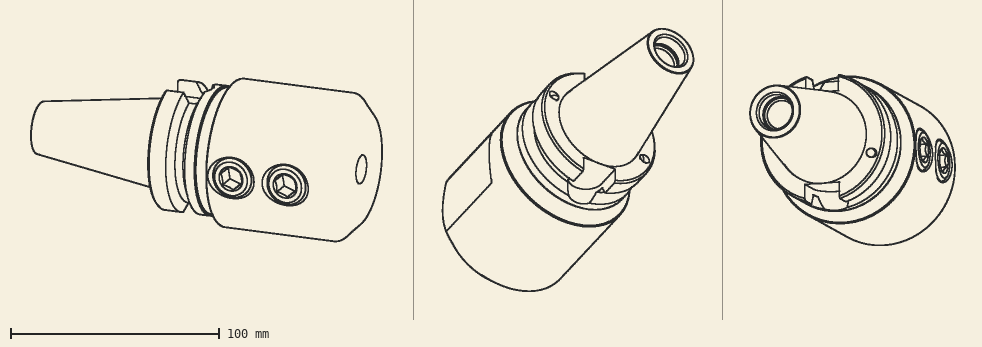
import cadquery as cq
import math

length = 165.4
body_diameter = 72.0
body_radius = body_diameter / 2

taper_ratio = 7 / 24
taper_length = 66.2
taper_radius = 22.5
taper_end_radius = taper_radius - taper_length * taper_ratio / 2
taper_end_chamfer = 0.3

flange_start = 67.5
flange_diameter = 63.0
flange_radius = flange_diameter / 2
flange_chamfer = 1.0
groove_radius = 26.6
groove_floor_start = 79.9
groove_floor_end = 84.0
groove_side_angle = 60.0
groove_side_run = (flange_radius - groove_radius) / math.tan(math.radians(groove_side_angle))
flange_end = 92.3
flange_end_chamfer = 0.5

collar_radius = 30.6
collar_fillet = 0.8
body_start = 99.4
body_chamfer = 0.5

nose_cone_length = 8.3
nose_radius = body_radius - nose_cone_length
nose_fillet = 2.0

upper_keyway_width = 16.5
lower_keyway_width = 17.5
keyway_floor = 22.3
keyway_end = 89.0

coolant_hole_diameter = 4.3
coolant_tilt = 35.0
coolant_hole_depth = 1.7
coolant_circle_radius = 26.8
coolant_angle = 20.0

bore_mouth_radius = 9.5
pilot_radius = 8.5
pilot_depth = 6.6
thread_radius = 8.0
thread_relief_length = 1.0
bore_radius = 7.0

flat_offset = 32.6
flat_ramp_start = 110.7

screw_positions = (112.5, 140.5)
screw_radius = 10.0
screw_length = 19.8
screw_rim_radius = 8.5
screw_rim_chamfer = screw_radius - screw_rim_radius
countersink_radius = 11.9
countersink_depth = countersink_radius - screw_radius
screw_top = body_radius
socket_width = 10.0
socket_corner_radius = socket_width / math.sqrt(3)
socket_mouth_radius = 6.1
socket_depth = 10.0
socket_turn = 40.0


def turned_blank():
    """Outer shape: taper, grooved flange, collar and body."""
    outline = [
        (0, 0),
        (0, taper_end_radius - taper_end_chamfer),
        (taper_end_chamfer, taper_end_radius),
        (taper_length, taper_radius),
        (flange_start, taper_radius),
        (flange_start, flange_radius - flange_chamfer),
        (flange_start + flange_chamfer, flange_radius),
        (groove_floor_start - groove_side_run, flange_radius),
        (groove_floor_start, groove_radius),
        (groove_floor_end, groove_radius),
        (groove_floor_end + groove_side_run, flange_radius),
        (flange_end - flange_end_chamfer, flange_radius),
        (flange_end, flange_radius - flange_end_chamfer),
        (flange_end, collar_radius),
        (body_start, collar_radius),
        (body_start, body_radius - body_chamfer),
        (body_start + body_chamfer, body_radius),
        (length - nose_cone_length, body_radius),
        (length, nose_radius),
        (length, 0),
    ]
    blank = cq.Workplane("XY").polyline(outline).close().revolve(360, (0, 0, 0), (1, 0, 0))
    nose_zone = cq.selectors.BoxSelector(
        (length - nose_cone_length - nose_fillet, -length, -length),
        (length + nose_fillet, length, length),
        boundingbox=True,
    )
    collar_zone = cq.selectors.BoxSelector(
        (body_start - collar_fillet / 2, -collar_radius - collar_fillet, -collar_radius - collar_fillet),
        (body_start + body_chamfer / 2, collar_radius + collar_fillet, collar_radius + collar_fillet),
        boundingbox=True,
    )
    blank = blank.edges(nose_zone).edges("%CIRCLE").fillet(nose_fillet)
    return blank.edges(collar_zone).edges("%CIRCLE").fillet(collar_fillet)


def draw_bolt_bore():
    """Stepped bore that runs through the whole holder."""
    mouth_chamfer = bore_mouth_radius - pilot_radius
    relief_end = pilot_depth + thread_relief_length
    outline = [
        (0, 0),
        (0, bore_mouth_radius),
        (mouth_chamfer, pilot_radius),
        (pilot_depth, pilot_radius),
        (pilot_depth, thread_radius),
        (relief_end, thread_radius),
        (relief_end + thread_radius - bore_radius, bore_radius),
        (length, bore_radius),
        (length, 0),
    ]
    return cq.Workplane("XY").polyline(outline).close().revolve(360, (0, 0, 0), (1, 0, 0))


def keyway(side, width):
    """Round-ended drive slot, open at the flange face; side is +1 or -1 along Z."""
    half_width = width / 2
    arc_center = keyway_end - half_width
    return (
        cq.Workplane("XY", origin=(0, 0, side * keyway_floor))
        .moveTo(flange_start, -half_width)
        .lineTo(arc_center, -half_width)
        .threePointArc((keyway_end, 0), (arc_center, half_width))
        .lineTo(flange_start, half_width)
        .close()
        .extrude(side * (body_radius - keyway_floor))
    )


def coolant_hole(angle):
    """Shallow blind hole in the flange face, slanting inward toward the axis."""
    lead = coolant_hole_diameter
    return (
        cq.Workplane("XY")
        .circle(coolant_hole_diameter / 2)
        .extrude(coolant_hole_depth + lead)
        .translate((0, 0, -lead))
        .rotate((0, 0, 0), (0, 1, 0), 90)
        .rotate((0, 0, 0), (0, 0, 1), -coolant_tilt)
        .translate((flange_start, coolant_circle_radius, 0))
        .rotate((0, 0, 0), (1, 0, 0), angle)
    )


def balancing_flat():
    """Material beyond the flat, with a 45 degree ramp at its start."""
    ramp = body_radius - flat_offset
    return (
        cq.Workplane("XY")
        .polyline([
            (flat_ramp_start, body_radius),
            (flat_ramp_start + ramp, flat_offset),
            (length, flat_offset),
            (length, body_radius),
        ])
        .close()
        .extrude(body_radius, both=True)
    )


def turned_about_y(x, outline):
    """Solid of revolution about the radial line at X = x; outline holds (radius, y)."""
    return (
        cq.Workplane("XY", origin=(x, 0, 0))
        .polyline(outline)
        .close()
        .revolve(360, (0, 0, 0), (0, 1, 0))
    )


def screw_hole(x):
    """Countersunk seat for one clamping screw."""
    return turned_about_y(x, [
        (0, -body_radius),
        (countersink_radius, -body_radius),
        (screw_radius, countersink_depth - body_radius),
        (screw_radius, screw_length - screw_top),
        (0, screw_length - screw_top),
    ])


def clamping_screw(x):
    """Set screw with a chamfered rim and a hexagon socket."""
    shank = turned_about_y(x, [
        (0, -screw_top),
        (screw_rim_radius, -screw_top),
        (screw_radius, screw_rim_chamfer - screw_top),
        (screw_radius, screw_length - screw_top),
        (0, screw_length - screw_top),
    ])
    socket = (
        cq.Workplane("XZ", origin=(x, -screw_top, 0))
        .transformed(rotate=(0, 0, socket_turn))
        .polygon(6, 2 * socket_corner_radius)
        .extrude(-socket_depth)
    )
    socket_mouth = turned_about_y(x, [
        (0, -screw_top),
        (socket_mouth_radius, -screw_top),
        (0, socket_mouth_radius - screw_top),
    ])
    return shank.cut(socket).cut(socket_mouth)


holder = turned_blank().cut(draw_bolt_bore()).cut(balancing_flat())
for angle in (coolant_angle, coolant_angle + 180):
    holder = holder.cut(coolant_hole(angle))
for side, width in ((1, upper_keyway_width), (-1, lower_keyway_width)):
    holder = holder.cut(keyway(side, width))
for x in screw_positions:
    holder = holder.cut(screw_hole(x))

screws = [clamping_screw(x) for x in screw_positions]

result = cq.Compound.makeCompound([holder.solids().val(), *[screw.solids().val() for screw in screws]])